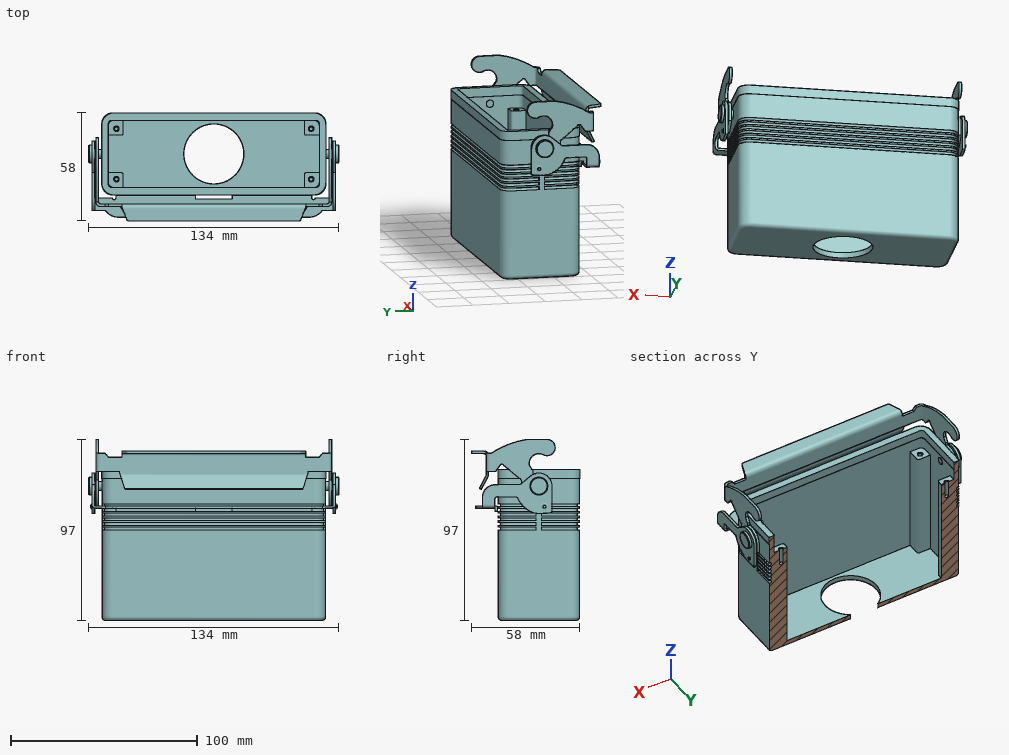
import cadquery as cq
import math

housing_height = 81.0
rim_length = 120.0
rim_width = 44.0
rim_height = 5.0
rim_corner = 6.0
body_inset = 0.2
body_length = rim_length - 2 * body_inset
body_width = rim_width - 2 * body_inset
body_corner = 6.0
bottom_round = 2.0

wall = 3.5
floor_thickness = 3.0
cavity_length = rim_length - 2 * wall
cavity_width = 36.0
cavity_corner = 2.0
lower_cavity_inset = 0.1
lower_cavity_corner = 2.6
cable_hole_diameter = 32.0

post_size = 8.0
post_top = 69.0
post_round = 1.0
post_hole_diameter = 2.1
post_hole_mouth_diameter = 3.0
post_hole_depth = 10.0
post_hole_x = 52.1
post_hole_y = 13.5

groove_count = 6
groove_pitch = 2.5
groove_width = 1.5
groove_depth = 1.25
groove_round = 0.5
lowest_groove_bottom = 48.5
groove_web = 3.0

overall_length = 134.0
overall_width = 57.98

pivot_z = 72.0
pin_end_x = overall_length / 2
pin_head_height = 1.8
pin_head_diameter = 9.6
pin_head_chamfer = 0.4
pin_shoulder_diameter = 5.0
pin_shank_diameter = 4.0

sheet = 1.5
outer_face_x = pin_end_x - pin_head_height
bracket_gap = 0.6
inner_face_x = outer_face_x - sheet - bracket_gap

back_curve_start_y = -6.5
back_curve_middle = (-15.5, 94.65)
panel_bend_start_y = -25.6
chin_y = -23.2
throat_front = (-20.4, 83.6)
throat_back = (-19.5, 83.6)
lug_front = (-9.3, 75.2)
lug_front_curve = (-6.5, 64.7)
lug_back_bottom_z = 66.0
neck_y = -3.1
neck_bottom_z = 78.3
neck_top_z = 80.2
recess_end = (-5.0, 83.0)
panel_front_y = -28.2
panel_top = 89.6
panel_bottom = 79.7
panel_bend_radius = 2.6
hook_top = 97.0
hook_tip_radius = 4.4
hook_tip = (4.35, hook_top - hook_tip_radius)
hook_recess = (0.0, 84.05)
hook_recess_radius = 5.2
lug_bottom = 61.5
lug_radius = 6.5
notch_floor = 87.5
notch_half_length = 56.3
notch_slope_run = 1.9

handle_tip_y = rim_width / 2 - overall_width
handle_top = 90.8
handle_bend_radius = 2.7
handle_root_half_length = 49.2
handle_tip_half_length = 46.3
handle_corner = 1.5

flap_thickness = 1.2
flap_tip = (-30.8, 70.2)
flap_root_half_length = 50.6
flap_tip_half_length = 47.6
flap_corner = 1.0
flap_drop = 2.4
flap_bend_radius = 2.0

eye_radius = 7.0
eye_bottom = 57.9
arm_top = 72.8
arm_underside = 66.2
shoulder_y = -10.0
lobe_arm_y = -12.1
lobe_front = (-11.4, 65.7)
lobe_curve = (-7.5, 60.3)
lobe_bottom_front = (-2.5, 57.6)
lobe_bottom_middle = (2.2, 57.3)
arm_front_y = -30.3
arm_back_y = -23.5
arm_bend_radius = 7.0
arm_inner_round = 1.2
shelf_thickness = 1.3
shelf_bottom = 60.1
shelf_top = shelf_bottom + shelf_thickness
shelf_front_y = -33.9
shelf_bend_radius = 2.0
shelf_bend_inner_radius = 0.5
shelf_front_half_length = 51.2
shelf_curve_half_length = 58.0
shelf_curve_middle = (55.4, -32.7)
shelf_middle_back_y = -24.1
tab_inner_x = 9.8
tab_outer_x = 52.4
tab_bottom = 58.5
tab_clearance = 0.1
tab_back_y = -rim_width / 2 - tab_clearance
tab_round = 0.8
relief_radius = 0.9

nub_y = 3.0
nub_z = 61.0
nub_height = 0.9
nub_base_radius = 1.8
nub_tip_radius = 0.8
nub_flare_height = 0.25


def rounded_block(length, width, height, corner, bottom_z):
    """Upright block with rounded vertical edges, centred on the Z axis."""
    block = cq.Workplane("XY").workplane(offset=bottom_z).rect(length, width).extrude(height)
    return block.edges("|Z").fillet(corner)


def on_both_ends(shape):
    """The shape together with its mirror image across the YZ plane."""
    return shape.union(shape.mirror("YZ"))


def disc(center_y, center_z, radius, start_x, end_x):
    """Cylinder along X between two X positions."""
    plane = cq.Workplane("YZ").workplane(offset=start_x).center(center_y, center_z)
    return plane.circle(radius).extrude(end_x - start_x)


def groove(bottom_z):
    """Ring that cuts one round-bottomed cooling groove, interrupted by the end webs."""
    core_length = body_length - 2 * groove_depth
    core_width = body_width - 2 * groove_depth
    ring = rounded_block(
        rim_length + 2 * wall, rim_width + 2 * wall, groove_width, rim_corner, bottom_z
    )
    ring = ring.cut(
        rounded_block(core_length, core_width, groove_width, body_corner - groove_depth, bottom_z)
    )
    inner_edges = cq.selectors.BoxSelector(
        (-body_length / 2, -body_width / 2, bottom_z - groove_width),
        (body_length / 2, body_width / 2, bottom_z + 2 * groove_width),
    )
    ring = ring.edges(inner_edges).edges("not(|Z)").fillet(groove_round)
    web_z = bottom_z + groove_width / 2
    web = cq.Workplane("XY").box(2 * rim_length, groove_web, groove_width).translate((0, 0, web_z))
    return ring.cut(web)


def post_hole():
    """Blind screw hole with a chamfered entry and a drill point, opening upward at the origin."""
    radius = post_hole_diameter / 2
    mouth_radius = post_hole_mouth_diameter / 2
    return (
        cq.Workplane("XZ")
        .moveTo(0, 0)
        .lineTo(mouth_radius, 0)
        .lineTo(radius, radius - mouth_radius)
        .lineTo(radius, -post_hole_depth)
        .lineTo(0, -post_hole_depth - radius)
        .close()
        .revolve(360, (0, 0, 0), (0, 1, 0))
    )


def corner_posts():
    """Four corner posts, each with a blind screw hole."""
    posts = cq.Workplane("XY")
    for side_x in (-1, 1):
        for side_y in (-1, 1):
            post = (
                cq.Workplane("XY")
                .rect(2 * post_size, 2 * post_size)
                .extrude(post_top - floor_thickness)
                .edges("|Z")
                .fillet(post_round)
                .translate((side_x * cavity_length / 2, side_y * cavity_width / 2, floor_thickness))
            )
            hole = post_hole().translate((side_x * post_hole_x, side_y * post_hole_y, post_top))
            posts = posts.add(post.cut(hole))
    return posts


def make_housing():
    body = rounded_block(body_length, body_width, housing_height, body_corner, 0)
    body = body.faces("<Z").edges().fillet(bottom_round)
    rim_foot = housing_height - rim_height
    rim = rounded_block(rim_length, rim_width, rim_height, rim_corner, rim_foot)
    shell = body.union(rim)

    for index in range(groove_count):
        shell = shell.cut(groove(lowest_groove_bottom + index * groove_pitch))

    mouth = rounded_block(cavity_length, cavity_width, rim_height, cavity_corner, rim_foot)
    cavity = rounded_block(
        cavity_length - 2 * lower_cavity_inset,
        cavity_width - 2 * lower_cavity_inset,
        rim_foot - floor_thickness,
        lower_cavity_corner,
        floor_thickness,
    )
    shell = shell.cut(mouth).cut(cavity)
    for post in corner_posts().vals():
        shell = shell.union(cavity.intersect(cq.Workplane(post)))

    cable_hole = cq.Workplane("XY").circle(cable_hole_diameter / 2).extrude(floor_thickness)
    shell = shell.cut(cable_hole)
    pin_holes = disc(0, pivot_z, pin_shank_diameter / 2, -rim_length / 2, rim_length / 2)
    return shell.cut(pin_holes)


def pivot_pin():
    """Headed pin at the +X end, reaching through the housing wall."""
    shank = disc(0, pivot_z, pin_shank_diameter / 2, cavity_length / 2, pin_end_x)
    shoulder = disc(0, pivot_z, pin_shoulder_diameter / 2, body_length / 2, pin_end_x)
    head = disc(0, pivot_z, pin_head_diameter / 2, outer_face_x, pin_end_x)
    head = head.faces(">X").edges().chamfer(pin_head_chamfer)
    return shank.union(shoulder).union(head)


def hook_profile():
    """Side outline of the inner bracket, from hook and lug to the front panel."""
    tip_y, tip_z = hook_tip
    recess_y, recess_z = hook_recess
    diagonal = math.sqrt(0.5)
    share = hook_tip_radius / (hook_tip_radius + hook_recess_radius)
    meet = (tip_y + share * (recess_y - tip_y), tip_z + share * (recess_z - tip_z))
    return (
        cq.Workplane("YZ")
        .moveTo(tip_y, hook_top)
        .lineTo(back_curve_start_y, hook_top)
        .threePointArc(back_curve_middle, (panel_bend_start_y, panel_top))
        .lineTo(panel_front_y, panel_top)
        .lineTo(panel_front_y, panel_bottom)
        .lineTo(chin_y, panel_bottom)
        .lineTo(*throat_front)
        .lineTo(*throat_back)
        .lineTo(*lug_front)
        .lineTo(lug_front[0], pivot_z)
        .threePointArc(lug_front_curve, (0, lug_bottom))
        .lineTo(lug_radius, lug_back_bottom_z)
        .lineTo(lug_radius, pivot_z)
        .threePointArc(
            (lug_radius * diagonal, pivot_z + lug_radius * diagonal), (0, pivot_z + lug_radius)
        )
        .lineTo(neck_y, neck_bottom_z)
        .lineTo(neck_y, neck_top_z)
        .lineTo(*recess_end)
        .threePointArc(
            (recess_y - hook_recess_radius * diagonal, recess_z + hook_recess_radius * diagonal), meet
        )
        .threePointArc((tip_y + hook_tip_radius, tip_z), (tip_y, hook_top))
        .close()
    )


def inner_bracket():
    """U-shaped strip around three sides of the housing, shaped by the hook outline."""
    depth = 2 * rim_width
    blank = (
        cq.Workplane("XY")
        .rect(2 * inner_face_x, depth)
        .extrude(housing_height + rim_width)
        .translate((0, panel_front_y + depth / 2, 0))
        .edges("|Z and <Y")
        .fillet(panel_bend_radius)
    )
    hollow = (
        cq.Workplane("XY")
        .rect(2 * (inner_face_x - sheet), depth)
        .extrude(housing_height + rim_width)
        .translate((0, panel_front_y + sheet + depth / 2, 0))
        .edges("|Z and <Y")
        .fillet(panel_bend_radius - sheet)
    )
    outline = hook_profile().extrude(inner_face_x, both=True)
    bracket = blank.cut(hollow).intersect(outline)

    notch = (
        cq.Workplane("XZ")
        .moveTo(-notch_half_length, notch_floor)
        .lineTo(notch_half_length, notch_floor)
        .lineTo(notch_half_length + notch_slope_run, panel_top)
        .lineTo(-notch_half_length - notch_slope_run, panel_top)
        .close()
        .extrude(2 * rim_width)
    )
    return bracket.cut(notch)


def handle():
    """Finger flange bent forward from the top of the panel, narrowing to its tip."""
    inner_bend = handle_bend_radius - sheet
    back_y = panel_front_y + sheet
    half_length = handle_root_half_length
    section = (
        cq.Workplane("YZ")
        .moveTo(panel_front_y, notch_floor - sheet)
        .lineTo(panel_front_y, handle_top - sheet)
        .lineTo(handle_tip_y, handle_top - sheet)
        .lineTo(handle_tip_y, handle_top)
        .lineTo(back_y, handle_top)
        .lineTo(back_y, notch_floor - sheet)
        .close()
        .extrude(half_length, both=True)
    )
    section = section.edges("|X and >Y and >Z").fillet(handle_bend_radius)
    corner = cq.selectors.NearestToPointSelector((0, panel_front_y, handle_top - sheet))
    section = section.edges("|X").edges(corner).fillet(inner_bend)
    trim = (
        cq.Workplane("XY")
        .moveTo(-half_length, back_y)
        .lineTo(-half_length, panel_front_y)
        .lineTo(-handle_tip_half_length, handle_tip_y)
        .lineTo(handle_tip_half_length, handle_tip_y)
        .lineTo(half_length, panel_front_y)
        .lineTo(half_length, back_y)
        .close()
        .extrude(hook_top)
        .edges("|Z and <Y")
        .fillet(handle_corner)
    )
    return section.intersect(trim)


def flap():
    """Slanted lip hanging from the lower edge of the panel, narrowing to its tip."""
    root_y = panel_front_y + flap_thickness
    root_z = panel_bottom - flap_drop
    tip_y, tip_z = flap_tip
    run = math.hypot(root_y - tip_y, root_z - tip_z)
    across_y = -flap_thickness * (root_z - tip_z) / run
    across_z = flap_thickness * (root_y - tip_y) / run
    section = (
        cq.Workplane("YZ")
        .moveTo(root_y, panel_bottom)
        .lineTo(root_y, root_z)
        .lineTo(tip_y, tip_z)
        .lineTo(tip_y + across_y, tip_z + across_z)
        .lineTo(panel_front_y, root_z + across_z)
        .lineTo(panel_front_y, panel_bottom)
        .close()
        .extrude(flap_root_half_length, both=True)
    )
    back_bend = cq.selectors.NearestToPointSelector((0, root_y, root_z))
    front_bend = cq.selectors.NearestToPointSelector((0, panel_front_y, root_z + across_z))
    section = section.edges("|X").edges(back_bend).fillet(flap_bend_radius + flap_thickness)
    section = section.edges("|X").edges(front_bend).fillet(flap_bend_radius)
    trim = (
        cq.Workplane("XZ")
        .moveTo(-flap_root_half_length, panel_bottom)
        .lineTo(flap_root_half_length, panel_bottom)
        .lineTo(flap_tip_half_length, tip_z)
        .lineTo(-flap_tip_half_length, tip_z)
        .close()
        .extrude(2 * rim_width)
        .edges("|Y and <Z")
        .fillet(flap_corner)
    )
    return section.intersect(trim)


def side_arm():
    """Flat plate at the +X end: eye around the pin, lower lobe and forward arm."""
    distance = math.hypot(shoulder_y, arm_top - pivot_z)
    angle = math.atan2(arm_top - pivot_z, shoulder_y) - math.acos(eye_radius / distance)
    middle = angle / 2
    return (
        cq.Workplane("YZ")
        .workplane(offset=outer_face_x - sheet)
        .moveTo(eye_radius, eye_bottom)
        .lineTo(eye_radius, pivot_z)
        .threePointArc(
            (eye_radius * math.cos(middle), pivot_z + eye_radius * math.sin(middle)),
            (eye_radius * math.cos(angle), pivot_z + eye_radius * math.sin(angle)),
        )
        .lineTo(shoulder_y, arm_top)
        .lineTo(arm_front_y + arm_bend_radius, arm_top)
        .radiusArc((arm_front_y, arm_top - arm_bend_radius), -arm_bend_radius)
        .lineTo(arm_front_y, shelf_bottom)
        .lineTo(arm_back_y, shelf_bottom)
        .lineTo(arm_back_y, arm_underside - arm_inner_round)
        .radiusArc((arm_back_y + arm_inner_round, arm_underside), arm_inner_round)
        .lineTo(lobe_arm_y, arm_underside)
        .lineTo(*lobe_front)
        .threePointArc(lobe_curve, lobe_bottom_front)
        .threePointArc(lobe_bottom_middle, (eye_radius, eye_bottom))
        .close()
        .extrude(sheet)
    )


def nub():
    """Small flared locating nub on the outer face of the +X eye."""
    return (
        cq.Workplane("XY")
        .moveTo(0, 0)
        .lineTo(nub_base_radius, 0)
        .lineTo(nub_tip_radius, nub_flare_height)
        .lineTo(nub_tip_radius, nub_height)
        .lineTo(0, nub_height)
        .close()
        .revolve(360, (0, 0, 0), (0, 1, 0))
        .rotate((0, 0, 0), (0, 0, 1), -90)
        .translate((outer_face_x, nub_y, nub_z))
    )


def shelf():
    """Horizontal strip that joins the two side arms in front of the housing."""
    end_x = outer_face_x - sheet
    curve_x, curve_y = shelf_curve_middle
    plate = (
        cq.Workplane("XY")
        .workplane(offset=shelf_bottom)
        .moveTo(-end_x, arm_back_y)
        .lineTo(-end_x, arm_front_y)
        .lineTo(-shelf_curve_half_length, arm_front_y)
        .threePointArc((-curve_x, curve_y), (-shelf_front_half_length, shelf_front_y))
        .lineTo(shelf_front_half_length, shelf_front_y)
        .threePointArc((curve_x, curve_y), (shelf_curve_half_length, arm_front_y))
        .lineTo(end_x, arm_front_y)
        .lineTo(end_x, arm_back_y)
        .close()
        .extrude(shelf_thickness)
    )
    middle_depth = arm_back_y - shelf_middle_back_y
    middle_notch = (
        cq.Workplane("XY")
        .box(2 * tab_inner_x, 2 * middle_depth, 2 * shelf_thickness)
        .translate((0, arm_back_y, shelf_bottom))
    )
    return plate.cut(middle_notch)


def shelf_tab():
    """Tab bent down at the back edge of the shelf, close to the housing wall."""
    length = tab_outer_x - tab_inner_x
    tab = (
        cq.Workplane("XY")
        .box(length, tab_back_y - arm_back_y, shelf_top - tab_bottom, centered=False)
        .translate((tab_inner_x, arm_back_y, tab_bottom))
    )
    return tab.edges("|X and >Y and >Z").fillet(tab_round)


def outer_bracket():
    relief = (
        cq.Workplane("XY")
        .workplane(offset=shelf_bottom)
        .center(tab_outer_x + relief_radius, arm_back_y)
        .circle(relief_radius)
        .extrude(shelf_thickness)
    )
    bracket = shelf().union(on_both_ends(side_arm()))
    arm_middle_y = (arm_front_y + arm_back_y) / 2
    for side in (-1, 1):
        inner_corner = (side * (outer_face_x - sheet), arm_middle_y, shelf_top)
        bracket = bracket.edges("|Y").edges(cq.selectors.NearestToPointSelector(inner_corner))
        bracket = bracket.fillet(shelf_bend_inner_radius)
        outer_corner = (side * outer_face_x, arm_middle_y, shelf_bottom)
        bracket = bracket.edges("|Y").edges(cq.selectors.NearestToPointSelector(outer_corner))
        bracket = bracket.fillet(shelf_bend_radius)
    return bracket.union(on_both_ends(nub().union(shelf_tab()))).cut(on_both_ends(relief))


def make_latch():
    upper = inner_bracket().union(handle()).union(flap())
    return upper.union(outer_bracket()).union(on_both_ends(pivot_pin()))


housing = make_housing()
latch = make_latch()
result = cq.Compound.makeCompound([housing.solids().val(), latch.solids().val()])